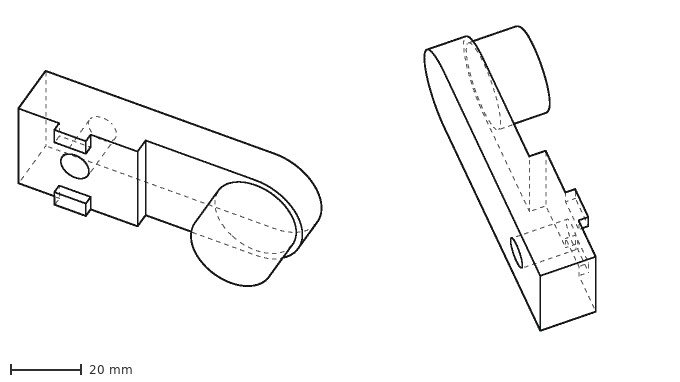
import cadquery as cq

length = 88.0
height = 30.0
end_radius = height / 2
arm_thickness = 12.0

block_length = 38.0
block_thickness = 17.0

hole_x = 18.0
hole_diameter = 9.0
tab_width = 10.0
tab_height = 5.0
tab_projection = 3.0

pin_x = length - end_radius
pin_diameter = 26.05
pin_front = 27.5
pin_length = pin_front - arm_thickness
pin_edge_radius = 1.0


def box_from_corner(x, z, depth_start, size_x, depth, size_z):
    """Box with its lower left corner at (x, z), extending toward -Y from depth_start."""
    return cq.Workplane("XY").box(size_x, depth, size_z, centered=False).translate(
        (x, -depth_start - depth, z)
    )


def make_arm():
    """Plate with one round end, a thick block, two tabs and a through hole."""
    plate = (
        cq.Workplane("XZ")
        .moveTo(0, -end_radius)
        .lineTo(pin_x, -end_radius)
        .threePointArc((length, 0), (pin_x, end_radius))
        .lineTo(0, end_radius)
        .close()
        .extrude(arm_thickness)
    )
    block = box_from_corner(0, -height / 2, 0, block_length, block_thickness, height)
    arm = plate.union(block)

    tab_x = hole_x - tab_width / 2
    for tab_z in (-height / 2, height / 2 - tab_height):
        tab = box_from_corner(
            tab_x, tab_z, block_thickness, tab_width, tab_projection, tab_height
        )
        arm = arm.union(tab)

    hole = (
        cq.Workplane("XZ")
        .center(hole_x, 0)
        .circle(hole_diameter / 2)
        .extrude(block_thickness)
    )
    return arm.cut(hole)


def make_pin():
    """Cylinder seated on the front face of the arm, with its outer rim rounded."""
    return (
        cq.Workplane("XZ", origin=(pin_x, -arm_thickness, 0))
        .circle(pin_diameter / 2)
        .extrude(pin_length)
        .faces("<Y")
        .edges()
        .fillet(pin_edge_radius)
    )


arm = make_arm()
pin = make_pin()

result = cq.Compound.makeCompound([arm.val(), pin.val()])